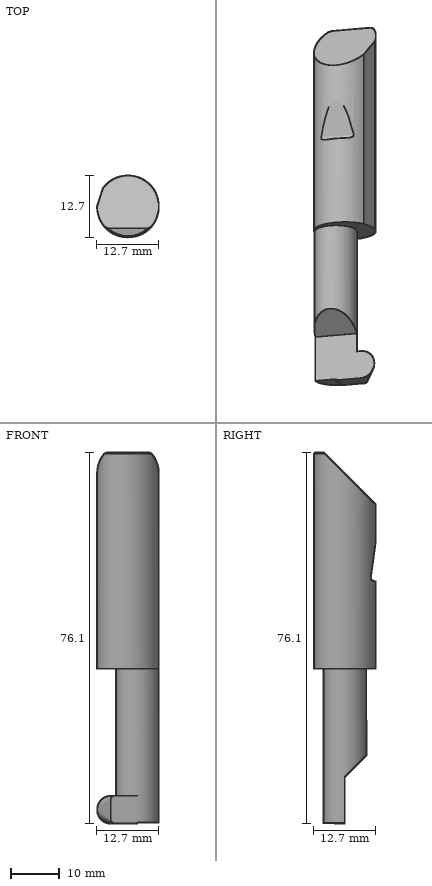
import cadquery as cq
import math

total_length = 76.1
shank_radius = 6.35
shank_bottom = 31.7
flat_edge_y = 3.7
slant_start_y = -4.4
top_chamfer = 0.3

notch_bottom = 49.7
notch_top = 58.0
notch_depth = 1.15
notch_radius = 0.75

neck_radius = 4.4
neck_x = shank_radius - neck_radius
neck_bottom = 0.2
relief_bottom = 9.6

head_height = 5.8
nose_tip_x = -6.3
tip_edge_height = 0.015
front_edge_x = -3.5
front_edge_height = 4.6
front_corner_length = 0.9
front_bottom = 0.15


def side_profile_cut(points):
    """Prism through the full shank width from (Y, Z) points."""
    return (
        cq.Workplane("YZ")
        .polyline(points)
        .close()
        .extrude(shank_radius, both=True)
    )


def make_shank():
    shank = (
        cq.Workplane("XY", origin=(0, 0, shank_bottom))
        .circle(shank_radius)
        .extrude(total_length - shank_bottom)
        .faces(">Z")
        .chamfer(top_chamfer)
    )

    flat_edge_x = -math.sqrt(shank_radius**2 - flat_edge_y**2)
    flat = (
        cq.Workplane("XY")
        .polyline([
            (-shank_radius, 0),
            (flat_edge_x, flat_edge_y),
            (-shank_radius, flat_edge_y),
        ])
        .close()
        .extrude(total_length)
    )

    slant_bottom = total_length - (shank_radius - slant_start_y)
    slant = side_profile_cut([
        (slant_start_y, total_length),
        (shank_radius, total_length),
        (shank_radius, slant_bottom),
    ])

    notch = side_profile_cut([
        (shank_radius, notch_bottom),
        (shank_radius, notch_top),
        (shank_radius - notch_depth, notch_bottom),
    ])
    notch = notch.edges("|X and <Y").fillet(notch_radius)
    return shank.cut(flat).cut(slant).cut(notch)


def make_neck():
    neck = (
        cq.Workplane("XY", origin=(neck_x, 0, neck_bottom))
        .circle(neck_radius)
        .extrude(shank_bottom - neck_bottom)
    )
    relief = side_profile_cut([
        (0, 0),
        (0, relief_bottom),
        (neck_radius, relief_bottom + neck_radius),
        (neck_radius, 0),
    ])
    return neck.cut(relief)


def head_section(y, tip_x, bottom, edge_height, corner_length):
    """Closed head outline at one Y, its two left corners rounded by quarter ellipses."""
    middle = head_height / 2
    edge_low = middle - edge_height / 2
    edge_high = middle + edge_height / 2
    corner_x = tip_x + corner_length
    mid_x = corner_x - corner_length * math.sqrt(0.5)
    mid_low = edge_low - (edge_low - bottom) * math.sqrt(0.5)
    mid_high = edge_high + (head_height - edge_high) * math.sqrt(0.5)

    def point(x, z):
        return cq.Vector(x, y, z)

    return cq.Wire.assembleEdges([
        cq.Edge.makeLine(point(neck_x, bottom), point(corner_x, bottom)),
        cq.Edge.makeThreePointArc(
            point(corner_x, bottom), point(mid_x, mid_low), point(tip_x, edge_low)
        ),
        cq.Edge.makeLine(point(tip_x, edge_low), point(tip_x, edge_high)),
        cq.Edge.makeThreePointArc(
            point(tip_x, edge_high), point(mid_x, mid_high), point(corner_x, head_height)
        ),
        cq.Edge.makeLine(point(corner_x, head_height), point(neck_x, head_height)),
        cq.Edge.makeLine(point(neck_x, head_height), point(neck_x, bottom)),
    ])


def make_head():
    rake = head_section(0, nose_tip_x, 0, tip_edge_height, head_height / 2)
    front = head_section(
        -neck_radius, front_edge_x, front_bottom, front_edge_height, front_corner_length
    )
    return cq.Workplane(cq.Solid.makeLoft([rake, front], True))


result = make_shank().union(make_neck()).union(make_head())